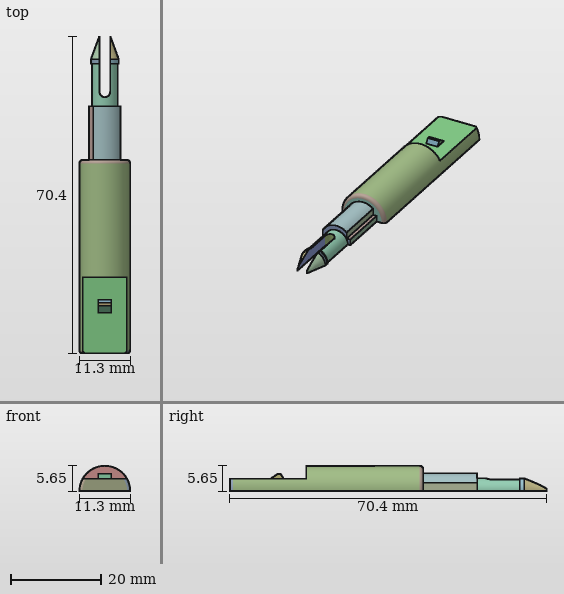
import cadquery as cq
import math

length = 70.4

body_width = 11.3
body_radius = body_width / 2
body_end = 43.0
shoulder_fillet = 0.85
front_fillet = 0.7

tongue_length = 17.0
tongue_height = 2.8

bump_width = 2.9
bump_height = 1.05
bump_front = 9.1
bump_ridge_front = 10.6
bump_ridge_back = 11.25
bump_back = 12.0

stem_end = 54.9
stem_radius = 4.0
flat_side = 3.5
step_side = 2.6
ledge_height = 1.5

pin_radius = 2.9
head_radius = 3.1
tip_radius = 1.3
head_length = 6.05
cone_length = 5.0
slot_width = 2.3
slot_depth = 13.45


def half_turned(profile):
    """Revolve (radius, Y) points half a turn about Y, above the XY plane."""
    return cq.Workplane("XY").polyline(profile).close().revolve(180, (0, 0, 0), (0, -1, 0))


def make_body():
    outline = (
        cq.Workplane("XY")
        .lineTo(body_radius - front_fillet, 0)
        .radiusArc((body_radius, front_fillet), -front_fillet)
        .lineTo(body_radius, body_end - shoulder_fillet)
        .radiusArc((body_radius - shoulder_fillet, body_end), -shoulder_fillet)
        .lineTo(0, body_end)
        .close()
    )
    body = outline.revolve(180, (0, 0, 0), (0, -1, 0))
    above_tongue = cq.Workplane("XY").box(
        2 * body_radius, tongue_length, body_radius, centered=(True, False, False)
    ).translate((0, 0, tongue_height))
    return body.cut(above_tongue)


def make_bump():
    top = tongue_height + bump_height
    return (
        cq.Workplane("YZ")
        .moveTo(bump_front, tongue_height)
        .lineTo(bump_ridge_front, top)
        .lineTo(bump_ridge_back, top)
        .lineTo(bump_back, tongue_height)
        .close()
        .extrude(bump_width / 2, both=True)
    )


def make_stem():
    section = (
        cq.Workplane("XZ", origin=(0, stem_end, 0))
        .moveTo(-flat_side, 0)
        .lineTo(-flat_side, ledge_height)
        .lineTo(-step_side, ledge_height)
        .lineTo(-step_side, math.sqrt(stem_radius**2 - step_side**2))
        .threePointArc((0, stem_radius), (flat_side, math.sqrt(stem_radius**2 - flat_side**2)))
        .lineTo(flat_side, 0)
        .close()
    )
    return section.extrude(stem_end - body_end)


def make_pin():
    head_start = length - head_length
    cone_start = length - cone_length
    pin = half_turned([
        (0, stem_end),
        (pin_radius, stem_end),
        (pin_radius, head_start),
        (head_radius, head_start),
        (head_radius, cone_start),
        (tip_radius, length),
        (0, length),
    ])
    slot_radius = slot_width / 2
    slot_center = length - slot_depth + slot_radius
    slot = (
        cq.Workplane("XY")
        .moveTo(-slot_radius, length)
        .lineTo(-slot_radius, slot_center)
        .threePointArc((0, length - slot_depth), (slot_radius, slot_center))
        .lineTo(slot_radius, length)
        .close()
        .extrude(head_radius)
    )
    return pin.cut(slot)


result = make_body().union(make_bump()).union(make_stem()).union(make_pin())